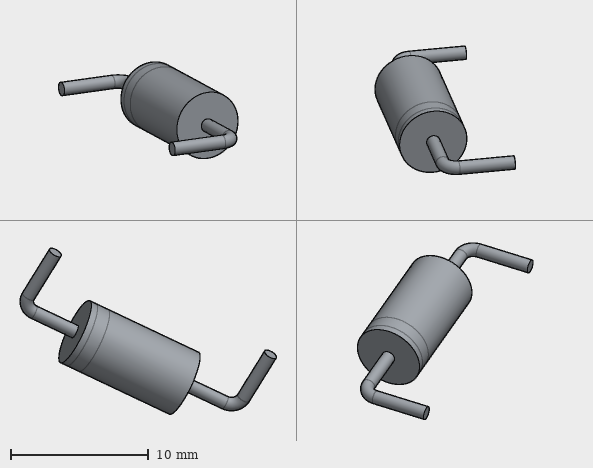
import cadquery as cq

overall_length = 18.78
body_diameter = 5.0
body_length = 9.0
band_offset = 0.5
band_width = 1.0
wire_diameter = 1.0
bend_radius = 1.0
lead_reach = 5.1

lead_x = (overall_length - wire_diameter) / 2
bend_start_x = lead_x - bend_radius


def body_section(start_x, end_x):
    """A stretch of the cylindrical body between two places along X."""
    return (
        cq.Workplane("YZ", origin=(start_x, 0, 0))
        .circle(body_diameter / 2)
        .extrude(end_x - start_x)
    )


body_end_x = body_length / 2
band_start_x = band_offset - body_end_x
band_end_x = band_start_x + band_width
body = (
    body_section(-body_end_x, band_start_x)
    .union(body_section(band_start_x, band_end_x), clean=False)
    .union(body_section(band_end_x, body_end_x), clean=False)
)

wire_path = (
    cq.Workplane("XY")
    .moveTo(-lead_x, -lead_reach)
    .lineTo(-lead_x, -bend_radius)
    .tangentArcPoint((-bend_start_x, 0), relative=False)
    .lineTo(bend_start_x, 0)
    .tangentArcPoint((lead_x, -bend_radius), relative=False)
    .lineTo(lead_x, -lead_reach)
)
wire = (
    cq.Workplane("XZ", origin=(-lead_x, -lead_reach, 0))
    .circle(wire_diameter / 2)
    .sweep(wire_path)
)

result = body.union(wire, clean=False)